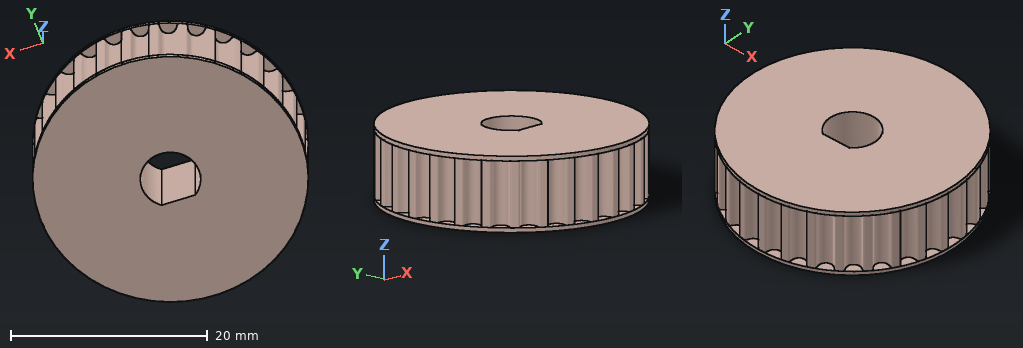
import cadquery as cq
import math

flange_diameter = 28.0
height = 8.0
flange_thickness = 0.5

tooth_count = 30
rim_diameter = 27.97
groove_depth = 1.18
bottom_radius = 0.85
side_radius = 1.48
side_center_offset = 0.55
tip_radius = 0.25

bore_diameter = 6.13
bore_flat_distance = 2.5

rim_radius = rim_diameter / 2
groove_length = height - 2 * flange_thickness
pitch_angle = 360 / tooth_count


def point_on_arc(center, radius, angle):
    return (center[0] + radius * math.cos(angle), center[1] + radius * math.sin(angle))


def groove_cutter():
    """One groove, opening toward +X, with its centreline along the X axis."""
    bottom_center = (rim_radius - groove_depth + bottom_radius, 0)
    center_distance = side_radius - bottom_radius
    side_center_x = bottom_center[0] + math.sqrt(center_distance**2 - side_center_offset**2)
    side_center = (side_center_x, -side_center_offset)
    side_start_angle = math.atan2(side_center_offset, bottom_center[0] - side_center_x)

    rim_reach = rim_radius - tip_radius
    side_reach = side_radius + tip_radius
    side_center_reach = math.hypot(*side_center)
    cos_at_axis = rim_reach**2 + side_center_reach**2 - side_reach**2
    cos_at_axis /= 2 * rim_reach * side_center_reach
    tip_angle = math.atan2(side_center[1], side_center[0]) + math.acos(cos_at_axis)
    tip_center = point_on_arc((0, 0), rim_reach, tip_angle)
    side_end_angle = math.atan2(tip_center[1] - side_center[1], tip_center[0] - side_center[0])
    tip_start_angle = side_end_angle - math.pi

    floor_middle = (rim_radius - groove_depth, 0)
    side_start = point_on_arc(side_center, side_radius, side_start_angle)
    side_middle = point_on_arc(side_center, side_radius, (side_start_angle + side_end_angle) / 2)
    side_end = point_on_arc(side_center, side_radius, side_end_angle)
    tip_middle = point_on_arc(tip_center, tip_radius, (tip_start_angle + tip_angle) / 2)
    tip_end = point_on_arc((0, 0), rim_radius, tip_angle)
    outer_corner = (flange_diameter / 2 + tip_radius, tip_end[1])

    def mirrored(point):
        return (point[0], -point[1])

    return (
        cq.Workplane("XY", origin=(0, 0, flange_thickness))
        .moveTo(*outer_corner)
        .lineTo(*tip_end)
        .threePointArc(tip_middle, side_end)
        .threePointArc(side_middle, side_start)
        .threePointArc(floor_middle, mirrored(side_start))
        .threePointArc(mirrored(side_middle), mirrored(side_end))
        .threePointArc(mirrored(tip_middle), mirrored(tip_end))
        .lineTo(*mirrored(outer_corner))
        .close()
        .extrude(groove_length)
    )


def toothed_rim():
    rim = cq.Workplane("XY", origin=(0, 0, flange_thickness)).circle(rim_radius).extrude(groove_length)
    cutter = groove_cutter()
    for index in range(tooth_count):
        rim = rim.cut(cutter.rotate((0, 0, 0), (0, 0, 1), index * pitch_angle))
    return rim


def flange(base_height):
    base = cq.Workplane("XY", origin=(0, 0, base_height))
    return base.circle(flange_diameter / 2).extrude(flange_thickness)


def d_bore():
    cylinder = cq.Workplane("XY").circle(bore_diameter / 2).extrude(height)
    keep = cq.Workplane("XY").box(
        bore_diameter, bore_diameter, height, centered=(True, False, False)
    )
    return cylinder.intersect(keep.translate((0, -bore_flat_distance, 0)))


pulley = toothed_rim().union(flange(0)).union(flange(height - flange_thickness))
result = pulley.cut(d_bore())